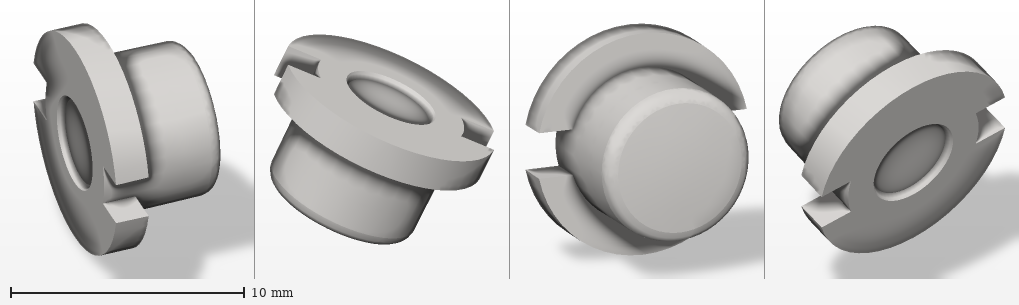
import cadquery as cq
import math

flange_diameter = 9.89
flange_thickness = 1.5

overall_depth = 5.75
stem_front_radius = 3.44
stem_draft = 0.5
crown_sphere_radius = 22.75
crown_rim_fillet = 0.59

slot_front_width = 2.0
slot_back_width = 2.04

recess_mouth_radius = 2.1
recess_floor_radius = 1.9
recess_depth = 0.3


def make_frustum(front_radius, back_radius, depth):
    """Cone frustum around the Y axis, starting at the front face."""
    return (
        cq.Workplane("XY")
        .polyline([
            (0, 0),
            (front_radius, 0),
            (back_radius, depth),
            (0, depth),
        ])
        .close()
        .revolve(360, (0, 0, 0), (0, 1, 0))
    )


def make_slotted_flange():
    """Disc with a drafted slot right across it; the stem later fills the middle."""
    disc = cq.Workplane("XZ").circle(flange_diameter / 2).extrude(-flange_thickness)
    slot = (
        cq.Workplane("YZ")
        .polyline([
            (0, -slot_front_width / 2),
            (flange_thickness, -slot_back_width / 2),
            (flange_thickness, slot_back_width / 2),
            (0, slot_front_width / 2),
        ])
        .close()
        .extrude(flange_diameter / 2, both=True)
    )
    return disc.cut(slot)


def make_plug():
    """Tapered stem from the front face to its domed, rounded back end."""
    taper = math.tan(math.radians(stem_draft))
    stem_back_radius = stem_front_radius - overall_depth * taper
    stem = make_frustum(stem_front_radius, stem_back_radius, overall_depth)

    crown_center_y = overall_depth - crown_sphere_radius
    crown_ball = cq.Workplane("XY").sphere(crown_sphere_radius).translate((0, crown_center_y, 0))
    domed_stem = stem.intersect(crown_ball)
    return domed_stem.faces(">Y").edges().fillet(crown_rim_fillet)


recess = make_frustum(recess_mouth_radius, recess_floor_radius, recess_depth)
result = make_slotted_flange().union(make_plug()).cut(recess)